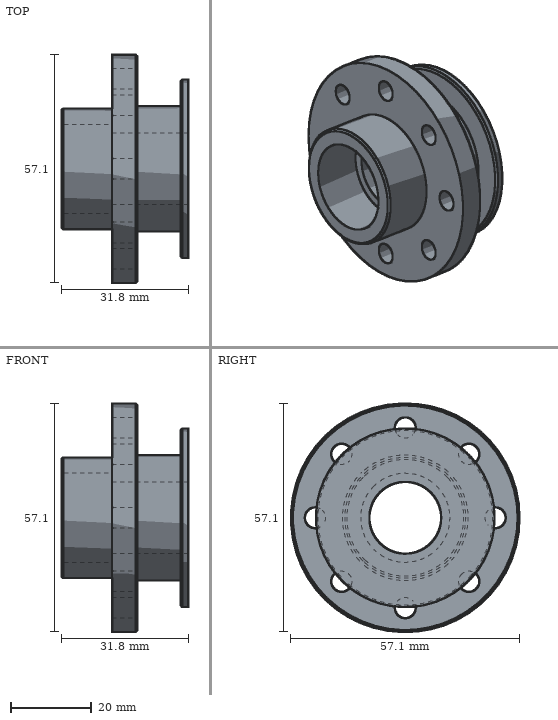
import cadquery as cq

total_length = 31.8
flange_start = 12.7
flange_thickness = 6.35
rim_thickness = 2.0
flange_end = flange_start + flange_thickness
rim_start = total_length - rim_thickness

boss_diameter = 30.25
flange_diameter = 57.15
hub_diameter = 31.45
rim_diameter = 44.7
edge_chamfer = 0.5

bore_diameter = 22.3
through_diameter = 17.9
bore_depth = flange_start

bolt_count = 8
bolt_circle_diameter = 45.0
bolt_hole_diameter = 5.15


def cylinder(start, end, diameter):
    """Solid cylinder on the X axis between two X positions."""
    return cq.Workplane("YZ", origin=(start, 0, 0)).circle(diameter / 2).extrude(end - start)


boss = cylinder(0, flange_start, boss_diameter).faces("<X").chamfer(edge_chamfer)
flange = cylinder(flange_start, flange_end, flange_diameter).faces(">X").chamfer(edge_chamfer)
hub = cylinder(flange_end, rim_start, hub_diameter)
rim = cylinder(rim_start, total_length, rim_diameter).faces("<X").chamfer(edge_chamfer)
body = boss.union(flange).union(hub).union(rim)

body = body.cut(cylinder(0, bore_depth, bore_diameter))
body = body.cut(cylinder(bore_depth, total_length, through_diameter))

bolt_holes = (
    cq.Workplane("YZ", origin=(flange_start, 0, 0))
    .polarArray(bolt_circle_diameter / 2, 0, 360, bolt_count)
    .circle(bolt_hole_diameter / 2)
    .extrude(flange_thickness)
)
result = body.cut(bolt_holes)